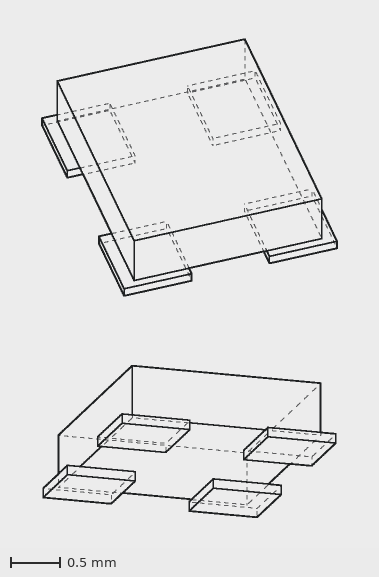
import cadquery as cq

overall_length = 2.67
overall_width = 2.27
overall_height = 0.65

pad_length = 0.822
pad_width = 0.72
pad_thickness = 0.1

body_length = 2.5
body_width = 2.0
body_height = overall_height - pad_thickness


def make_body():
    """Plain rectangular package resting on the pads."""
    return (
        cq.Workplane("XY")
        .workplane(offset=pad_thickness)
        .box(body_length, body_width, body_height, centered=(True, True, False))
    )


def make_pad(x_side, y_side):
    """Flat pad at the corner given by the signs of its X and Y position."""
    x_center = x_side * (overall_length - pad_length) / 2
    y_center = y_side * (overall_width - pad_width) / 2
    return (
        cq.Workplane("XY")
        .center(x_center, y_center)
        .box(pad_length, pad_width, pad_thickness, centered=(True, True, False))
    )


body = make_body()
pads = [make_pad(x_side, y_side) for x_side in (-1, 1) for y_side in (-1, 1)]

result = cq.Compound.makeCompound([body.val(), *[pad.val() for pad in pads]])